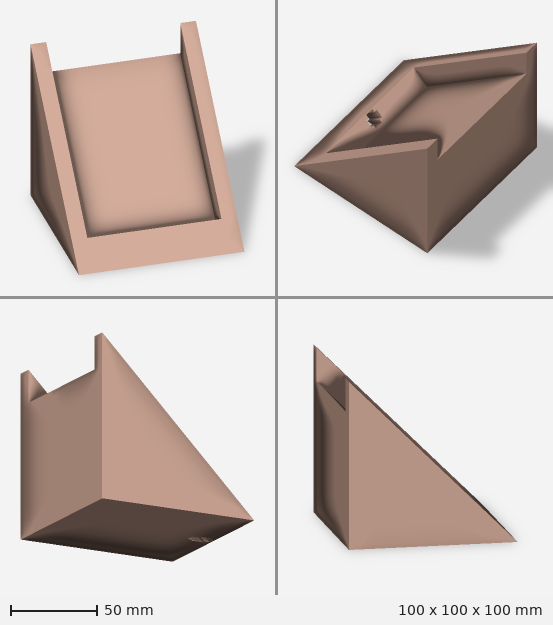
import cadquery as cq

side = 100.0

cheek_thickness = 9.5
pocket_drop = 20.0
pocket_lip_x = 84.8

passage_center_y = 50.4
passage_center_x = 80.7
core_width = 5.5
core_height = 10.3
ear_span = 9.8
ear_height = 5.4
passage_length = side

pocket_width = side - 2 * cheek_thickness
floor_end_x = pocket_lip_x - pocket_drop / 2
floor_end_z = side - pocket_drop - floor_end_x
passage_center_z = floor_end_z + (passage_center_x - floor_end_x)


def make_wedge():
    profile = cq.Workplane("XZ").polyline([(0, 0), (side, 0), (0, side)]).close()
    return profile.extrude(-side)


def make_pocket():
    """Prism that reaches past the slope and the tall face so both are cut cleanly."""
    clearance = pocket_drop
    outline = [
        (-clearance, side - pocket_drop + clearance),
        (floor_end_x, floor_end_z),
        (pocket_lip_x + clearance, side - pocket_lip_x + clearance),
        (-clearance, side + 3 * clearance),
    ]
    plane = cq.Workplane("XZ", origin=(0, cheek_thickness, 0))
    return plane.polyline(outline).close().extrude(-pocket_width)


def make_passage():
    """Cross section on the end wall, swept straight down the slope direction."""
    end_wall = cq.Plane(
        origin=(passage_center_x, passage_center_y, passage_center_z),
        xDir=(0, 1, 0),
        normal=(1, 0, -1),
    )
    core = cq.Workplane(end_wall).rect(core_width, core_height).extrude(passage_length)
    ears = cq.Workplane(end_wall).rect(ear_span, ear_height).extrude(passage_length)
    return core.union(ears)


result = make_wedge().cut(make_pocket()).cut(make_passage())